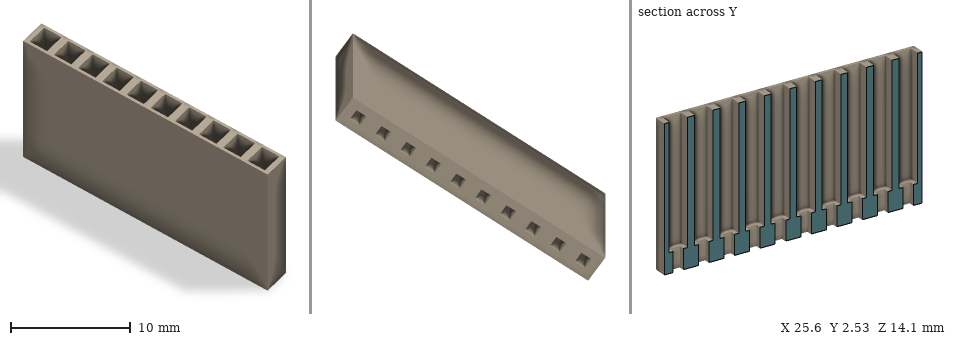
import cadquery as cq

length = 25.6
width = 2.53
height = 14.1

cavity_count = 10
pitch = 2.53
pocket_length = 1.82
pocket_width = 2.0
floor_thickness = 2.0
hole_side = 1.0


def cavity_row(size_x, size_y, depth):
    """Row of rectangular cutters reaching down from the top face."""
    return (
        cq.Workplane("XY")
        .workplane(offset=height)
        .rarray(pitch, 0.25, cavity_count, 1)
        .rect(size_x, size_y)
        .extrude(-depth)
    )


housing = cq.Workplane("XY").box(length, width, height, centered=(True, True, False))

pockets = cavity_row(pocket_length, pocket_width, height - floor_thickness)
through_holes = cavity_row(hole_side, hole_side, height)

result = housing.cut(pockets).cut(through_holes)